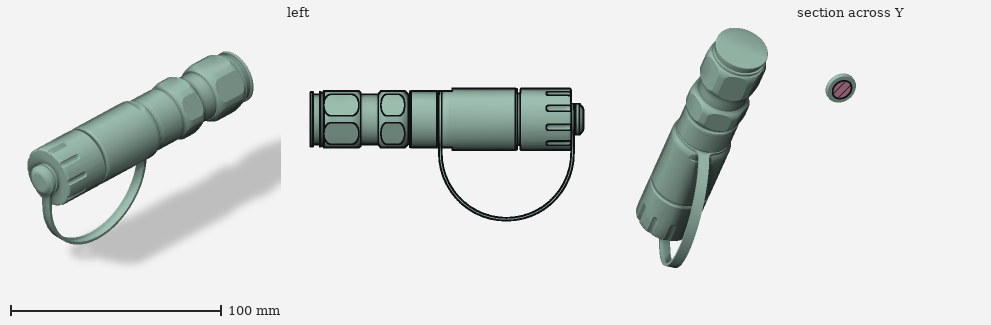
import cadquery as cq
import math

LENGTH = 129.9

BODY_RADIUS = 29.5 / 2
SLEEVE_RADIUS = 27.0 / 2
NECK_RADIUS = 24.0 / 2
FLANGE_RADIUS = 26.0 / 2
GROOVE_RADIUS = 24.8 / 2
STEP_RADIUS = 23.5 / 2
EDGE_CHAMFER = 0.3

REAR_FLANGE_END = 1.4
SECOND_FLANGE_START = 4.4
SECOND_FLANGE_END = 5.0

NUT_SIDES = 6
NUT_RIM_RADIUS = 13.6

REAR_NUT_START = 6.1
REAR_NUT_END = 23.9
REAR_NUT_CORNERS = (9.9, 19.6)
REAR_NUT_RIMS = (6.5, 22.9)
REAR_NUT_TAIL_RADIUS = 12.7

MIDDLE_NUT_START = 32.2
MIDDLE_NUT_END = 46.6
MIDDLE_NUT_CORNERS = (36.4, 41.8)
MIDDLE_NUT_RIMS = (33.6, 44.7)

SLEEVE_START = 47.3
SLEEVE_END = 60.8
SLEEVE_CHAMFER_LENGTH = 0.8

STRAP_THICKNESS = 1.4
STRAP_WIDTH = 5.1
STRAP_REAR = 61.0
STRAP_FRONT = 125.3
STRAP_DROP = 16.1
COLLAR_FILLET = 3.6
EYELET_FILLET = 5.2

BODY_START = STRAP_REAR + STRAP_THICKNESS
BODY_SHOULDER = 66.0
BODY_START_RADIUS = 13.4
BODY_FLAT_END = 67.4
BODY_END = 98.3
BODY_EDGE_LENGTH = 1.0
BODY_EDGE_DEPTH = 0.4

CAP_START = 99.9
CAP_END = STRAP_FRONT - STRAP_THICKNESS
CAP_REAR_FILLET = 0.6
CAP_FRONT_FILLET = 1.0
SLOT_COUNT = 10
SLOT_FIRST_ANGLE = 87.0
SLOT_CUTTER_RADIUS = 1.8
SLOT_DEPTH = 0.97
SLOT_BALL_STATION = 113.6

BUTTON_RADIUS = 15.0 / 2
BUTTON_PIN_RADIUS = 10.0 / 2
BUTTON_FACE_RADIUS = 4.2
BUTTON_START = 125.7
BUTTON_BAND_START = 126.2
BUTTON_BAND_END = 127.9
BUTTON_BEVEL_END = 128.8
BUTTON_BEVEL_RADIUS = 6.4


def cylinder(radius, start, end):
    """Round section between two stations."""
    return cq.Workplane("XZ", origin=(0, -start, 0)).circle(radius).extrude(end - start)


def disc(radius, start, end):
    """Round section with small chamfers on both rims."""
    return cylinder(radius, start, end).edges().chamfer(EDGE_CHAMFER)


def revolve(profile):
    """Turn a closed (radius, -station) profile around the Y axis."""
    return profile.close().revolve(360, (0, 0, 0), (0, 1, 0))


def shoulder_middle(rim_radius, rim, corner):
    """Midpoint of an arc that leaves the body radius tangentially and ends on the rim."""
    drop = BODY_RADIUS - rim_radius
    run = corner - rim
    arc_radius = (drop**2 + run**2) / (2 * drop)
    half_angle = math.asin(run / arc_radius) / 2
    radius = BODY_RADIUS - arc_radius * (1 - math.cos(half_angle))
    station = corner - arc_radius * math.sin(half_angle)
    return radius, -station


def hex_nut(start, end, corners, rims, start_radius, end_radius):
    """Turned blank with rounded shoulders, cut to six flats; one pair faces +Z and -Z."""
    corner_start, corner_end = corners
    rim_start, rim_end = rims
    blank = revolve(
        cq.Workplane("XY")
        .moveTo(0, -start)
        .lineTo(start_radius, -start)
        .lineTo(NUT_RIM_RADIUS, -rim_start)
        .threePointArc(
            shoulder_middle(NUT_RIM_RADIUS, rim_start, corner_start),
            (BODY_RADIUS, -corner_start),
        )
        .lineTo(BODY_RADIUS, -corner_end)
        .threePointArc(
            shoulder_middle(NUT_RIM_RADIUS, rim_end, corner_end),
            (NUT_RIM_RADIUS, -rim_end),
        )
        .lineTo(end_radius, -end)
        .lineTo(0, -end)
    )
    hexagon = (
        cq.Workplane("XZ", origin=(0, -start, 0))
        .polygon(NUT_SIDES, 2 * SLEEVE_RADIUS, circumscribed=True)
        .extrude(end - start)
        .rotate((0, 0, 0), (0, 1, 0), 180 / NUT_SIDES)
    )
    return blank.intersect(hexagon)


def rear_end():
    """Cable end: two thin flanges, the necks and both nuts."""
    core = cylinder(NECK_RADIUS, 0, MIDDLE_NUT_START)
    step = cylinder(STEP_RADIUS, MIDDLE_NUT_START, BODY_START)
    rear_flange = disc(FLANGE_RADIUS, 0, REAR_FLANGE_END)
    second_flange = cylinder(FLANGE_RADIUS, SECOND_FLANGE_START, SECOND_FLANGE_END)
    flange_hub = cylinder(FLANGE_RADIUS - EDGE_CHAMFER, SECOND_FLANGE_END, REAR_NUT_START)
    rear_nut = hex_nut(
        REAR_NUT_START, REAR_NUT_END, REAR_NUT_CORNERS, REAR_NUT_RIMS,
        FLANGE_RADIUS, REAR_NUT_TAIL_RADIUS,
    )
    middle_nut = hex_nut(
        MIDDLE_NUT_START, MIDDLE_NUT_END, MIDDLE_NUT_CORNERS, MIDDLE_NUT_RIMS,
        NECK_RADIUS, STEP_RADIUS,
    )
    parts = (step, rear_flange, second_flange, flange_hub, rear_nut, middle_nut)
    for part in parts:
        core = core.union(part)
    return core


def sleeve():
    """Plain sleeve behind the strap collar, with slim chamfers."""
    blank = cylinder(SLEEVE_RADIUS, SLEEVE_START, SLEEVE_END)
    blank = blank.faces(">Y").chamfer(SLEEVE_CHAMFER_LENGTH, EDGE_CHAMFER)
    return blank.faces("<Y").chamfer(SLEEVE_CHAMFER_LENGTH, EDGE_CHAMFER)


def body():
    """Main barrel with a rounded rear shoulder and two wrench flats, and the groove in front."""
    barrel = revolve(
        cq.Workplane("XY")
        .moveTo(0, -BODY_START)
        .lineTo(BODY_START_RADIUS, -BODY_START)
        .threePointArc(
            shoulder_middle(BODY_START_RADIUS, BODY_START, BODY_SHOULDER),
            (BODY_RADIUS, -BODY_SHOULDER),
        )
        .lineTo(BODY_RADIUS, -(BODY_END - BODY_EDGE_LENGTH))
        .lineTo(BODY_RADIUS - BODY_EDGE_DEPTH, -BODY_END)
        .lineTo(0, -BODY_END)
    )
    flat_length = BODY_FLAT_END - BODY_START
    for side in (1, -1):
        cutter = cq.Workplane("XY").box(2 * BODY_RADIUS, flat_length, BODY_RADIUS).translate(
            (0, -(BODY_START + flat_length / 2), side * (SLEEVE_RADIUS + BODY_RADIUS / 2))
        )
        barrel = barrel.cut(cutter)
    return barrel.union(cylinder(GROOVE_RADIUS, BODY_END, CAP_START))


def cap():
    """Front cap with ball-ended grip slots that run out at its front face."""
    blank = cylinder(BODY_RADIUS, CAP_START, CAP_END)
    blank = blank.faces(">Y").edges().fillet(CAP_REAR_FILLET)
    blank = blank.faces("<Y").edges().fillet(CAP_FRONT_FILLET)
    cutter = cylinder(SLOT_CUTTER_RADIUS, SLOT_BALL_STATION, LENGTH)
    ball = cq.Workplane("XY").sphere(SLOT_CUTTER_RADIUS).translate((0, -SLOT_BALL_STATION, 0))
    cutter = cutter.union(ball).translate((BODY_RADIUS - SLOT_DEPTH + SLOT_CUTTER_RADIUS, 0, 0))
    for index in range(SLOT_COUNT):
        angle = SLOT_FIRST_ANGLE + index * 360 / SLOT_COUNT
        blank = blank.cut(cutter.rotate((0, 0, 0), (0, 1, 0), -angle))
    return blank


def strap_end(ring_radius, fillet_radius, start):
    """Ring with a straight tail hanging down to the loop, blended on both sides."""
    half_width = STRAP_WIDTH / 2
    centre_x = half_width + fillet_radius
    centre_z = -math.sqrt((ring_radius + fillet_radius) ** 2 - centre_x**2)
    touch_share = ring_radius / (ring_radius + fillet_radius)
    touch_x = centre_x * touch_share
    touch_z = centre_z * touch_share
    bend_angle = math.atan2(-centre_z, -centre_x) / 2 + math.pi / 2
    middle_x = centre_x + fillet_radius * math.cos(bend_angle)
    middle_z = centre_z + fillet_radius * math.sin(bend_angle)
    tail = (
        cq.Workplane("XZ", origin=(0, -start, 0))
        .moveTo(0, 0)
        .lineTo(touch_x, touch_z)
        .threePointArc((middle_x, middle_z), (half_width, centre_z))
        .lineTo(half_width, -STRAP_DROP)
        .lineTo(-half_width, -STRAP_DROP)
        .lineTo(-half_width, centre_z)
        .threePointArc((-middle_x, middle_z), (-touch_x, touch_z))
        .close()
        .extrude(STRAP_THICKNESS)
    )
    return tail.union(cylinder(ring_radius, start, start + STRAP_THICKNESS))


def strap():
    """Captive strap: a collar on the body, a half-round loop and an eyelet under the button."""
    outer_radius = (STRAP_FRONT - STRAP_REAR) / 2
    loop_centre = -(STRAP_REAR + STRAP_FRONT) / 2
    loop = (
        cq.Workplane("YZ", origin=(-STRAP_WIDTH / 2, loop_centre, -STRAP_DROP))
        .circle(outer_radius)
        .circle(outer_radius - STRAP_THICKNESS)
        .extrude(STRAP_WIDTH)
    )
    upper_half = cq.Workplane("XY").box(
        2 * STRAP_WIDTH, 2 * outer_radius, 2 * outer_radius
    ).translate((0, loop_centre, outer_radius - STRAP_DROP))
    loop = loop.cut(upper_half)
    collar = strap_end(SLEEVE_RADIUS, COLLAR_FILLET, STRAP_REAR)
    eyelet = strap_end(BUTTON_RADIUS, EYELET_FILLET, CAP_END)
    return loop.union(collar).union(eyelet)


def button():
    """Pin and head that hold the strap eyelet on the cap."""
    head = revolve(
        cq.Workplane("XY")
        .moveTo(0, -LENGTH)
        .lineTo(BUTTON_FACE_RADIUS, -LENGTH)
        .tangentArcPoint((BUTTON_BEVEL_RADIUS, -BUTTON_BEVEL_END), relative=False)
        .lineTo(BUTTON_RADIUS, -BUTTON_BAND_END)
        .lineTo(BUTTON_RADIUS, -BUTTON_BAND_START)
        .lineTo(BUTTON_RADIUS - EDGE_CHAMFER, -BUTTON_START)
        .lineTo(0, -BUTTON_START)
    )
    return head.union(cylinder(BUTTON_PIN_RADIUS, STRAP_FRONT, BUTTON_START))


result = rear_end()
for section in (sleeve(), body(), cap(), strap(), button()):
    result = result.union(section)